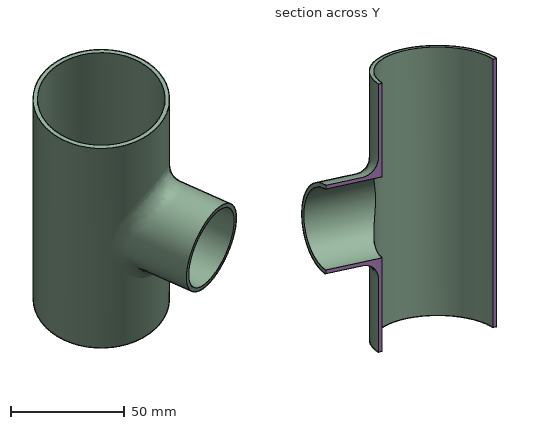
import cadquery as cq

run_diameter = 60.3
run_length = 128.0
branch_diameter = 42.4
branch_reach = 57.0
wall = 2.0
junction_radius = 8.0


def run_cylinder(diameter):
    """Cylinder along Z, centred on the origin."""
    return cq.Workplane("XY").circle(diameter / 2).extrude(run_length / 2, both=True)


def branch_cylinder(diameter):
    """Cylinder along +X, from the run axis to the branch end."""
    return cq.Workplane("YZ").circle(diameter / 2).extrude(branch_reach)


def outer_body():
    """Solid tee with its saddle-shaped junction edge rounded."""
    run_radius = run_diameter / 2
    branch_radius = branch_diameter / 2
    margin = 1.0
    junction_box = cq.selectors.BoxSelector(
        (0, -branch_radius - margin, -branch_radius - margin),
        (run_radius + margin, branch_radius + margin, branch_radius + margin),
        boundingbox=True,
    )
    tee = run_cylinder(run_diameter).union(branch_cylinder(branch_diameter))
    return tee.edges(junction_box).fillet(junction_radius)


def bores():
    """Connected bores of the run and the branch."""
    run_bore = run_cylinder(run_diameter - 2 * wall)
    branch_bore = branch_cylinder(branch_diameter - 2 * wall)
    return run_bore.union(branch_bore)


result = outer_body().cut(bores())